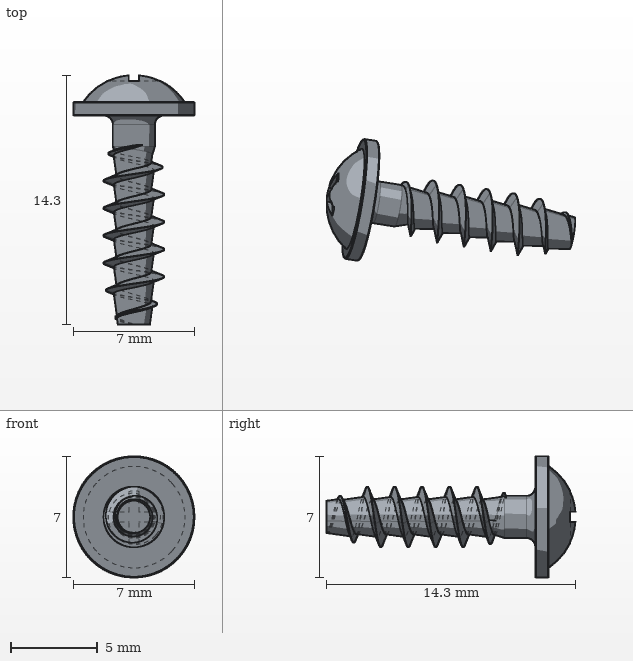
import math
import cadquery as cq


total_length = 14.33
flange_radius = 3.5
flange_bottom = 12.01
flange_thickness = 0.79
flange_chamfer = 0.06
dome_radius = 2.92
recess_width = 0.57
recess_depth = 0.32

shank_radius = 1.22
shank_fillet = 0.5
shank_end = 10.25
shank_cone_length = 0.69

core_radius = 1.0
core_tip_radius = 0.9
relief_radius = 1.19
relief_slope = 0.14
tip_radius = 0.93

pitch = 1.58
crest_radius = 1.75
crest_width = 0.03
flank_angle = 20.0
thread_start = 10.68
thread_end = 0.05
top_of_turn = 5.5
lead_in_length = 1.58
lead_in_radius = 1.38
entry_height = 10.35
entry_slope = 2.0
runout_slope = 0.34
buried_radius = 0.72
joint_gap = 0.01
points_per_turn = 24
points_per_stretch = 12

flange_top = flange_bottom + flange_thickness
flank_slope = math.tan(math.radians(flank_angle))


def relief_radius_at(height):
    """Relief radius under the crest; the last turn merges into the tip cone."""
    return min(relief_radius, tip_radius + relief_slope * height)


def crest_radius_at(height):
    """Crest radius, growing from the shank and fading out towards the tip."""
    hidden_radius = shank_radius - joint_gap
    entry = max(hidden_radius, hidden_radius + entry_slope * (entry_height - height))
    lead_in_slope = (crest_radius - lead_in_radius) / lead_in_length
    lead_in = lead_in_radius + lead_in_slope * (shank_end - height)
    runout = tip_radius + joint_gap + runout_slope * height
    return min(crest_radius, entry, lead_in, runout)


def root_radius_at(height):
    """Radius of the upper edge of the thread, just inside the core, which narrows over the last turn."""
    core = core_tip_radius + (core_radius - core_tip_radius) * height / pitch
    return min(core_radius, core) - joint_gap


def upper_root_rise(height):
    """Height of the upper edge of the thread above the middle of its crest."""
    depth = max(crest_radius_at(height) - root_radius_at(height), 0)
    return crest_width / 2 + depth * flank_slope


def thread_section(height):
    """Corners (radius, height) of the thread and its relief face at one place on the helix."""
    crest = crest_radius_at(height)
    relief = relief_radius_at(height)
    half_crest = crest_width / 2
    upper_root = height + upper_root_rise(height)
    lower_drop = (half_crest + (crest - relief) * flank_slope) / (1 - relief_slope * flank_slope)
    relief_drop = pitch - upper_root_rise(height - pitch) - joint_gap
    return [
        (buried_radius, upper_root),
        (root_radius_at(height), upper_root),
        (crest, height + half_crest),
        (crest, height - half_crest),
        (relief - relief_slope * lower_drop, height - lower_drop),
        (relief - relief_slope * relief_drop, height - relief_drop),
        (buried_radius, height - relief_drop),
    ]


def place_on_helix(section, height):
    """Turn a section about the Y axis to its place on the right-handed helix."""
    turn = 2 * math.pi * (top_of_turn - height) / pitch
    return [cq.Vector(-r * math.sin(turn), y, r * math.cos(turn)) for r, y in section]


def make_thread():
    steps = math.ceil((thread_start - thread_end) / pitch * points_per_turn)
    heights = [thread_start + (thread_end - thread_start) * i / steps for i in range(steps + 1)]
    sections = [place_on_helix(thread_section(h), h) for h in heights]
    faces = []
    for first in range(0, steps, points_per_stretch):
        stretch = sections[first : first + points_per_stretch + 1]
        helices = [cq.Edge.makeSpline(list(corner)) for corner in zip(*stretch)]
        for i, helix in enumerate(helices):
            faces.append(cq.Face.makeRuledSurface(helices[i - 1], helix))
    for end in (sections[0], sections[-1]):
        faces.append(cq.Face.makeFromWires(cq.Wire.makePolygon(end, close=True)))
    thread = cq.Workplane(cq.Solid.makeSolid(cq.Shell.makeShell(faces)).fix())
    below_tip = cq.Workplane("XZ").circle(flange_radius).extrude(2 * pitch)
    return thread.cut(below_tip)


def make_body():
    """Head, shank and core as one turned profile."""
    corner_radius = recess_width / math.sqrt(2)
    rise = total_length - flange_top
    center_height = (total_length + flange_top) / 2 - (dome_radius**2 - corner_radius**2) / (2 * rise)
    sphere_radius = math.hypot(dome_radius, flange_top - center_height)
    mid_radius = dome_radius / 2
    mid_height = center_height + math.sqrt(sphere_radius**2 - mid_radius**2)
    fillet_middle = shank_fillet * (1 - math.sqrt(0.5))
    profile = (
        cq.Workplane("XY")
        .lineTo(core_tip_radius, 0)
        .lineTo(core_radius, pitch)
        .lineTo(core_radius, shank_end - shank_cone_length)
        .lineTo(shank_radius, shank_end)
        .lineTo(shank_radius, flange_bottom - shank_fillet)
        .threePointArc(
            (shank_radius + fillet_middle, flange_bottom - fillet_middle),
            (shank_radius + shank_fillet, flange_bottom),
        )
        .lineTo(flange_radius - flange_chamfer, flange_bottom)
        .lineTo(flange_radius, flange_bottom + flange_chamfer)
        .lineTo(flange_radius, flange_top - flange_chamfer)
        .lineTo(flange_radius - flange_chamfer, flange_top)
        .lineTo(dome_radius, flange_top)
        .threePointArc((mid_radius, mid_height), (0, center_height + sphere_radius))
        .close()
    )
    return profile.revolve(360, (0, 0, 0), (0, 1, 0))


def make_recess():
    """Cross-shaped driving recess in the top of the dome."""
    length = 2 * dome_radius
    place = (0, total_length, 0)
    slot_along_x = cq.Workplane("XY").box(length, 2 * recess_depth, recess_width).translate(place)
    slot_along_z = cq.Workplane("XY").box(recess_width, 2 * recess_depth, length).translate(place)
    return slot_along_x.union(slot_along_z)


result = make_body().union(make_thread()).cut(make_recess())